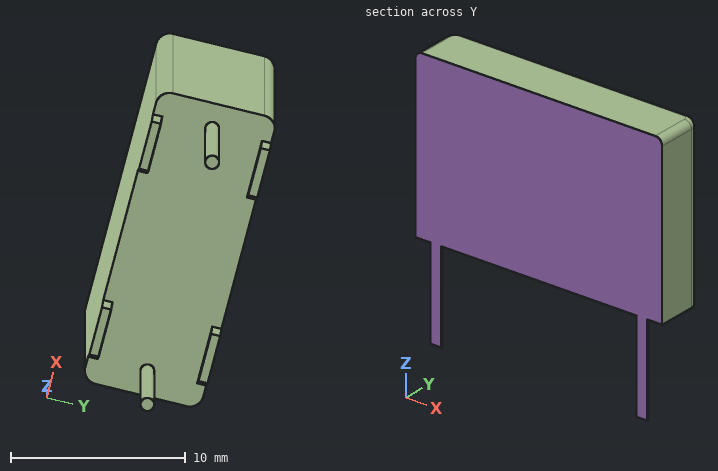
import cadquery as cq
import math


case_length = 18.0
case_width = 7.0
case_height = 12.0
corner_radius = 0.8
top_fillet = 0.5

lead_pitch = 15.0
lead_diameter = 0.8
overall_height = 18.5
lead_length_below_case = overall_height - case_height

foot_height = 0.5
foot_thickness = 0.55
foot_inner_x = 4.0
foot_outer_x = lead_pitch / 2
foot_side_angle = 30.0
foot_side_run = foot_height * math.tan(math.radians(foot_side_angle))


def make_case():
    """Box with rounded upright corners and a rounded top rim."""
    return (
        cq.Workplane("XY")
        .workplane(offset=foot_height)
        .rect(case_length, case_width)
        .extrude(case_height)
        .edges("|Z")
        .fillet(corner_radius)
        .faces(">Z")
        .edges()
        .fillet(top_fillet)
    )


def make_foot(x_side, y_side):
    """Trapezoidal foot, narrower at the bottom, flush with a long side of the case."""
    foot_center_y = y_side * (case_width - foot_thickness) / 2
    outline = [
        (x_side * foot_inner_x, foot_height),
        (x_side * foot_outer_x, foot_height),
        (x_side * (foot_outer_x - foot_side_run), 0),
        (x_side * (foot_inner_x + foot_side_run), 0),
    ]
    return (
        cq.Workplane("XZ", origin=(0, foot_center_y, 0))
        .polyline(outline)
        .close()
        .extrude(foot_thickness / 2, both=True)
    )


def make_lead(x_side):
    """Straight round wire hanging from the underside of the case."""
    return (
        cq.Workplane("XY", origin=(x_side * lead_pitch / 2, 0, foot_height))
        .circle(lead_diameter / 2)
        .extrude(-lead_length_below_case)
    )


result = make_case()
for x_side in (-1, 1):
    result = result.union(make_lead(x_side))
    for y_side in (-1, 1):
        result = result.union(make_foot(x_side, y_side))